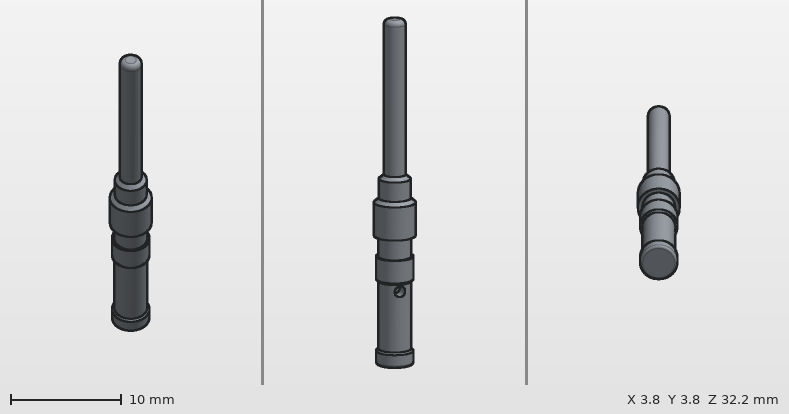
import cadquery as cq

pin_radius = 1.0
neck_radius = 1.45
collar_radius = 1.9
shank_radius = 1.5
ring_radius = 1.7

foot_top = 1.45
ring_bottom = 7.75
ring_top = 10.05
collar_bottom = 12.0
collar_top = 15.5
neck_top = 17.7
pin_top = 32.2

tip_fillet = 0.5
shoulder_chamfer_height = 0.4
neck_chamfer_width = neck_radius - pin_radius
collar_chamfer_width = collar_radius - neck_radius
ring_chamfer = ring_radius - shank_radius
foot_fillet = 0.25

hole_diameter = 1.0
hole_height = 7.1


def section(radius, bottom, top):
    """Cylinder on the Z axis between two heights."""
    return cq.Workplane("XY").workplane(offset=bottom).circle(radius).extrude(top - bottom)


def make_shank():
    return section(shank_radius, foot_top, collar_bottom)


def make_foot():
    foot = section(ring_radius, 0, foot_top)
    return foot.faces(">Z").edges().chamfer(ring_chamfer).faces("<Z").edges().fillet(foot_fillet)


def make_ring():
    ring = section(ring_radius, ring_bottom, ring_top)
    return ring.faces("<Z").edges().chamfer(ring_chamfer)


def make_collar():
    collar = section(collar_radius, collar_bottom, collar_top)
    return collar.faces(">Z").edges().chamfer(shoulder_chamfer_height, collar_chamfer_width)


def make_neck():
    neck = section(neck_radius, collar_top, neck_top)
    return neck.faces(">Z").edges().chamfer(shoulder_chamfer_height, neck_chamfer_width)


def make_pin():
    pin = section(pin_radius, neck_top, pin_top)
    return pin.faces(">Z").edges().fillet(tip_fillet)


def make_inspection_hole():
    """Radial cutter from the part axis out through the +Y side."""
    plane = cq.Plane(origin=(0, 0, hole_height), xDir=(1, 0, 0), normal=(0, 1, 0))
    return cq.Workplane(plane).circle(hole_diameter / 2).extrude(ring_radius)


result = make_shank()
for turned_section in (make_foot(), make_ring(), make_collar(), make_neck(), make_pin()):
    result = result.union(turned_section)
result = result.cut(make_inspection_hole())